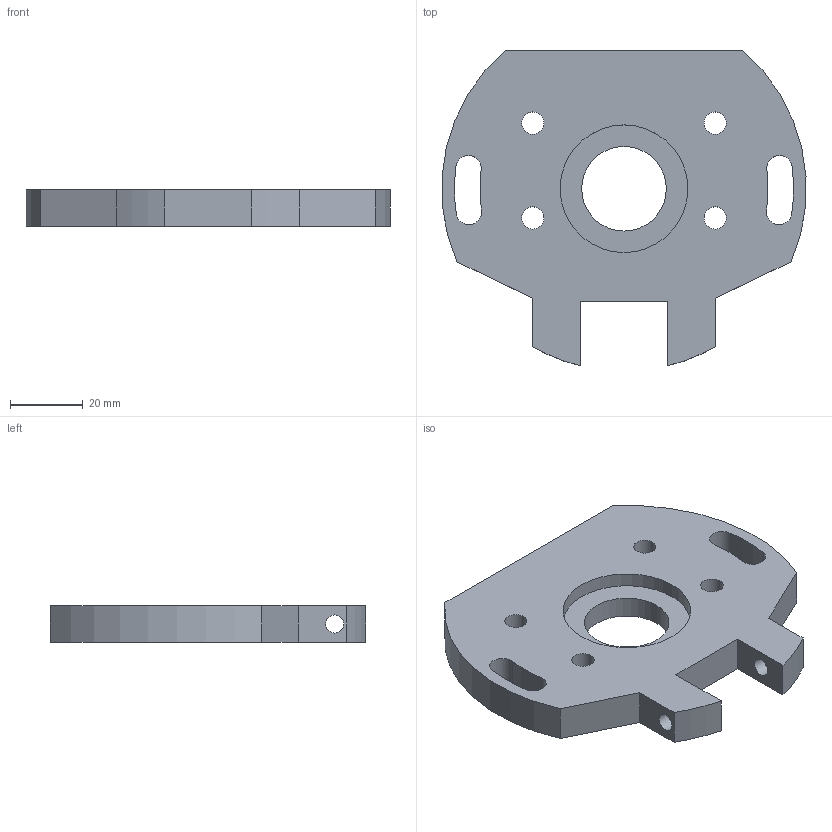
import cadquery as cq
import math

thickness = 10.0
plate_radius = 50.0
top_flat_y = 38.0
shoulder_outer_y = -20.0

leg_outer_x = 25.0
leg_root_y = -30.0
notch_width = 24.0
notch_floor_y = -31.0
leg_hole_diameter = 5.0
leg_hole_y = -40.0

bore_diameter = 23.2
counterbore_diameter = 35.0
counterbore_depth = 4.0

mount_hole_diameter = 6.1
mount_hole_x = 25.0
mount_hole_ys = (18.0, -8.0)

slot_path_radius = 43.0
slot_width = 7.0
slot_upper_angle = 7.5
slot_lower_angle = -8.5


def circle_x(y):
    """Positive X on the plate rim at height y."""
    return math.sqrt(plate_radius**2 - y**2)


def circle_y(x):
    """Positive Y on the plate rim at offset x."""
    return math.sqrt(plate_radius**2 - x**2)


def polar(radius, angle):
    """Point at the given radius and angle in degrees."""
    turn = math.radians(angle)
    return (radius * math.cos(turn), radius * math.sin(turn))


def rim_midpoint(start, end):
    """Point on the plate rim halfway between two rim points."""
    start_angle = math.degrees(math.atan2(start[1], start[0]))
    end_angle = math.degrees(math.atan2(end[1], end[0]))
    return polar(plate_radius, (start_angle + end_angle) / 2)


def plate_half():
    """The +X half of the plate, legs and notch included."""
    notch_x = notch_width / 2
    flat_end = (circle_x(top_flat_y), top_flat_y)
    shoulder = (circle_x(shoulder_outer_y), shoulder_outer_y)
    leg_outer_tip = (leg_outer_x, -circle_y(leg_outer_x))
    leg_inner_tip = (notch_x, -circle_y(notch_x))
    return (
        cq.Workplane("XY")
        .moveTo(0, top_flat_y)
        .lineTo(*flat_end)
        .threePointArc(rim_midpoint(flat_end, shoulder), shoulder)
        .lineTo(leg_outer_x, leg_root_y)
        .lineTo(*leg_outer_tip)
        .threePointArc(rim_midpoint(leg_outer_tip, leg_inner_tip), leg_inner_tip)
        .lineTo(notch_x, notch_floor_y)
        .lineTo(0, notch_floor_y)
        .close()
        .extrude(thickness)
    )


def stepped_bore():
    """Through bore with a counterbore sunk from the top face."""
    bore = cq.Workplane("XY").circle(bore_diameter / 2).extrude(thickness)
    counterbore = (
        cq.Workplane("XY", origin=(0, 0, thickness - counterbore_depth))
        .circle(counterbore_diameter / 2)
        .extrude(counterbore_depth)
    )
    return bore.union(counterbore)


def mounting_holes():
    """Four through holes, one pair on each side of the bore."""
    centers = [(side * mount_hole_x, y) for side in (-1, 1) for y in mount_hole_ys]
    return cq.Workplane("XY").pushPoints(centers).circle(mount_hole_diameter / 2).extrude(thickness)


def curved_slot():
    """Round-ended arc slot on the +X side."""
    end_radius = slot_width / 2
    inner_radius = slot_path_radius - end_radius
    outer_radius = slot_path_radius + end_radius
    middle_angle = (slot_upper_angle + slot_lower_angle) / 2
    band = (
        cq.Workplane("XY")
        .moveTo(*polar(inner_radius, slot_lower_angle))
        .lineTo(*polar(outer_radius, slot_lower_angle))
        .threePointArc(polar(outer_radius, middle_angle), polar(outer_radius, slot_upper_angle))
        .lineTo(*polar(inner_radius, slot_upper_angle))
        .threePointArc(polar(inner_radius, middle_angle), polar(inner_radius, slot_lower_angle))
        .close()
        .extrude(thickness)
    )
    end_centers = [polar(slot_path_radius, angle) for angle in (slot_lower_angle, slot_upper_angle)]
    ends = cq.Workplane("XY").pushPoints(end_centers).circle(end_radius).extrude(thickness)
    return band.union(ends)


def leg_cross_hole():
    """Hole along X through both legs at mid thickness."""
    return (
        cq.Workplane("YZ", origin=(-leg_outer_x, leg_hole_y, thickness / 2))
        .circle(leg_hole_diameter / 2)
        .extrude(2 * leg_outer_x)
    )


half = plate_half()
plate = half.union(half.mirror("YZ"))
slot = curved_slot()

result = (
    plate.cut(stepped_bore())
    .cut(mounting_holes())
    .cut(slot)
    .cut(slot.mirror("YZ"))
    .cut(leg_cross_hole())
)